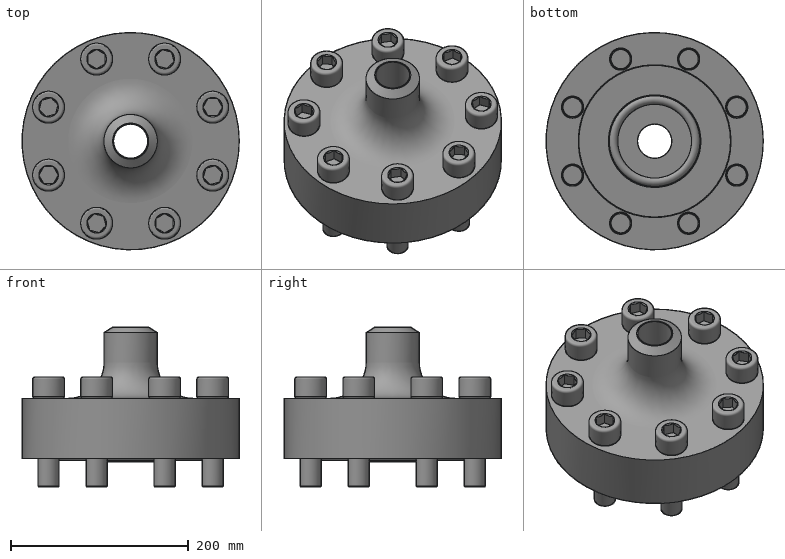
import cadquery as cq
import math

flange_diameter = 244.8
flange_thickness = 68.0

neck_diameter = 60.2
neck_height = 80.0
flare_radius = 40.0
neck_tip_diameter = 40.6
bevel_height = 6.0
bore_diameter = 38.2

face_diameter = 172.0
face_height = 2.0
face_chamfer = 0.7
groove_inner_diameter = 83.0
groove_outer_diameter = 104.3

seal_mean_diameter = 92.5
seal_protrusion = 1.5

bolt_count = 8
bolt_circle_diameter = 200.0
first_bolt_angle = 22.5
bolt_hole_diameter = 25.0
shank_diameter = 24.0
shank_length = 100.0
shank_chamfer = 1.2
head_diameter = 36.0
head_height = shank_diameter
head_top_fillet = 2.7
head_base_chamfer_height = 1.7
head_base_chamfer_width = 1.0
socket_corner_diameter = 22.0
socket_turn = -22.5
socket_depth = 14.7
socket_rim_angle = 45.0

neck_radius = neck_diameter / 2
neck_tip_radius = neck_tip_diameter / 2
neck_top = flange_thickness + neck_height
seal_section_radius = (seal_mean_diameter - groove_inner_diameter) / 2
groove_depth = 2 * seal_section_radius - seal_protrusion
groove_floor = groove_depth - face_height
bolt_circle_radius = bolt_circle_diameter / 2
bolt_pitch_angle = 360 / bolt_count
socket_rim_radius = socket_corner_diameter / 2


def make_flange_blank():
    """Revolve the disc, flared neck and raised face, without any holes."""
    flange_radius = flange_diameter / 2
    face_radius = face_diameter / 2
    flare_start = flange_thickness + flare_radius
    flare_inset = flare_radius * (1 - math.cos(math.radians(45)))
    return (
        cq.Workplane("XZ")
        .moveTo(0, -face_height)
        .lineTo(face_radius - face_chamfer, -face_height)
        .lineTo(face_radius, face_chamfer - face_height)
        .lineTo(face_radius, 0)
        .lineTo(flange_radius, 0)
        .lineTo(flange_radius, flange_thickness)
        .lineTo(neck_radius + flare_radius, flange_thickness)
        .threePointArc(
            (neck_radius + flare_inset, flange_thickness + flare_inset),
            (neck_radius, flare_start),
        )
        .lineTo(neck_radius, neck_top - bevel_height)
        .lineTo(neck_tip_radius, neck_top)
        .lineTo(0, neck_top)
        .close()
        .revolve(360, (0, 0, 0), (0, 1, 0))
    )


def make_flange():
    """Weld neck flange with its bore, bolt holes and seal groove."""
    bore = (
        cq.Workplane("XY", origin=(0, 0, -face_height))
        .circle(bore_diameter / 2)
        .extrude(neck_top + face_height)
    )
    bolt_holes = (
        cq.Workplane("XY", origin=(0, 0, -face_height))
        .polarArray(bolt_circle_radius, first_bolt_angle, 360, bolt_count)
        .circle(bolt_hole_diameter / 2)
        .extrude(flange_thickness + face_height)
    )
    groove = (
        cq.Workplane("XY", origin=(0, 0, -face_height))
        .circle(groove_outer_diameter / 2)
        .circle(groove_inner_diameter / 2)
        .extrude(groove_depth)
    )
    return make_flange_blank().cut(bore).cut(bolt_holes).cut(groove)


def make_seal_ring():
    """O-ring that stands slightly proud of the raised face."""
    return (
        cq.Workplane("XZ")
        .center(seal_mean_diameter / 2, groove_floor - seal_section_radius)
        .circle(seal_section_radius)
        .revolve(360, (-seal_mean_diameter / 2, 0, 0), (-seal_mean_diameter / 2, 1, 0))
    )


def make_socket():
    """Hexagonal key socket whose conical lead-in meets its corners at the top of the head."""
    hexagon = (
        cq.Workplane("XY", origin=(0, 0, head_height - socket_depth))
        .polygon(6, socket_corner_diameter)
        .extrude(socket_depth)
        .rotate((0, 0, 0), (0, 0, 1), socket_turn)
    )
    cone_depth = socket_rim_radius * math.tan(math.radians(socket_rim_angle))
    lead_in = cq.Workplane(
        cq.Solid.makeCone(
            0, socket_rim_radius, cone_depth, cq.Vector(0, 0, head_height - cone_depth)
        )
    )
    return hexagon.union(lead_in)


def make_bolt():
    """Socket head bolt along Z, with the underside of its head at Z = 0."""
    shank = (
        cq.Workplane("XY")
        .circle(shank_diameter / 2)
        .extrude(-shank_length)
        .faces("<Z")
        .chamfer(shank_chamfer)
    )
    head_radius = head_diameter / 2
    head = (
        cq.Workplane("XZ")
        .lineTo(head_radius - head_base_chamfer_width, 0)
        .lineTo(head_radius, head_base_chamfer_height)
        .lineTo(head_radius, head_height)
        .lineTo(0, head_height)
        .close()
        .revolve(360, (0, 0, 0), (0, 1, 0))
        .faces(">Z")
        .edges()
        .fillet(head_top_fillet)
    )
    return head.union(shank).cut(make_socket())


def place_bolts():
    """Copies of the bolt around the bolt circle, each turned with its position."""
    bolt = make_bolt().translate((bolt_circle_radius, 0, flange_thickness))
    bolts = []
    for index in range(bolt_count):
        angle = first_bolt_angle + index * bolt_pitch_angle
        bolts.append(bolt.rotate((0, 0, 0), (0, 0, 1), angle).val())
    return bolts


flange = make_flange()
seal_ring = make_seal_ring()
bolts = place_bolts()

result = cq.Compound.makeCompound([flange.val(), seal_ring.val(), *bolts])